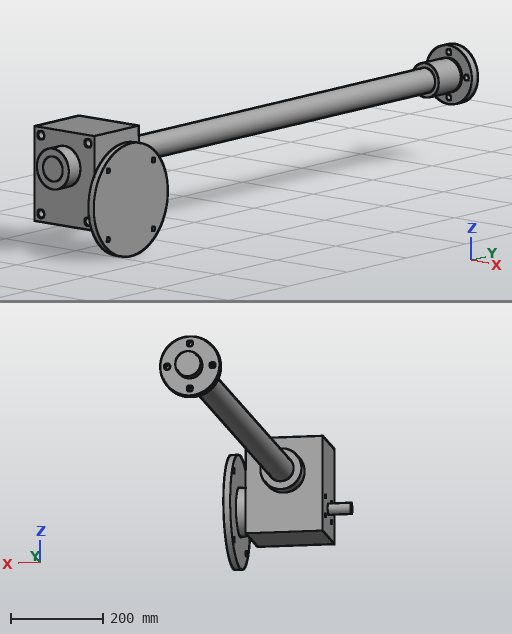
import cadquery as cq
import math


HOUSING_WIDTH = 170.0
HOUSING_DEPTH = 150.0
HOUSING_HEIGHT = 210.0
HOUSING_TOP = 78.0
HOUSING_MIDDLE_Z = HOUSING_TOP - HOUSING_HEIGHT / 2
HOUSING_SIDE = HOUSING_WIDTH / 2
HOUSING_FRONT = -HOUSING_DEPTH / 2

BOSS_DIAMETER = 90.0
BOSS_END = 114.0

DRILL_POINT_ANGLE = 118
CORNER_HOLE_DIAMETER = 17.0
CORNER_HOLE_MOUTH = 20.0
CORNER_HOLE_DEPTH = 35.0
CORNER_HOLE_INSET = 18.0
SIDE_HOLE_DIAMETER = 6.7
SIDE_HOLE_MOUTH = 8.0
SIDE_HOLE_DEPTH = 17.0
SIDE_HOLE_SPACING_Y = 74.0
SIDE_HOLE_SPACING_Z = 42.0

SCREW_DIAMETER = 55.0
SCREW_END = 1265.0

NUT_FLANGE_DIAMETER = 130.0
NUT_FLANGE_THICKNESS = 21.0
NUT_HUB_DIAMETER = 76.0
NUT_HUB_LENGTH = 79.0
NUT_NECK_DIAMETER = 75.0
NUT_NECK_LENGTH = 4.0
NUT_END = 1241.0
NUT_HOLE_DIAMETER = 13.0
NUT_HOLE_CIRCLE = 100.0
NUT_HOLE_COUNT = 4

DRIVE_AXIS_Z = -70.0
SHAFT_DIAMETER = 25.0
SHAFT_LENGTH = 50.0
SHAFT_HOLE_DIAMETER = 6.7
SHAFT_HOLE_MOUTH = 8.0
SHAFT_HOLE_DEPTH = 25.0

MOTOR_FLANGE_DIAMETER = 250.0
MOTOR_FLANGE_THICKNESS = 15.0
MOTOR_HUB_SMALL_DIAMETER = 100.0
MOTOR_HUB_LARGE_DIAMETER = 108.0
MOTOR_HUB_LENGTH = 25.0
MOTOR_HOLE_DIAMETER = 10.1
MOTOR_HOLE_MOUTH = 12.0
MOTOR_HOLE_CIRCLE = 215.0
MOTOR_HOLE_COUNT = 4

X_DIRECTION = cq.Vector(1, 0, 0)
Y_DIRECTION = cq.Vector(0, 1, 0)


def cylinder(diameter, length, start, direction):
    """Cylinder from the centre of its first end along a direction."""
    return cq.Workplane(cq.Solid.makeCylinder(diameter / 2, length, cq.Vector(*start), direction))


def cone(start_diameter, end_diameter, length, start, direction):
    """Cone or truncated cone from the centre of its first end along a direction."""
    solid = cq.Solid.makeCone(start_diameter / 2, end_diameter / 2, length, cq.Vector(*start), direction)
    return cq.Workplane(solid)


def chamfered_hole(diameter, mouth_diameter, depth, start, direction):
    """Hole with a 45 degree chamfer at its mouth."""
    chamfer = cone(mouth_diameter, diameter, (mouth_diameter - diameter) / 2, start, direction)
    return cylinder(diameter, depth, start, direction).union(chamfer)


def tapped_hole(diameter, mouth_diameter, depth, start, direction):
    """Blind chamfered hole with a conical drill point beyond its full-width depth."""
    point_length = diameter / 2 / math.tan(math.radians(DRILL_POINT_ANGLE / 2))
    point_start = (cq.Vector(*start) + direction * depth).toTuple()
    point = cone(diameter, 0, point_length, point_start, direction)
    return chamfered_hole(diameter, mouth_diameter, depth, start, direction).union(point)


def make_housing():
    body = cq.Workplane().box(HOUSING_WIDTH, HOUSING_DEPTH, HOUSING_HEIGHT)
    body = body.translate((0, 0, HOUSING_MIDDLE_Z))
    body = body.union(cylinder(BOSS_DIAMETER, 2 * BOSS_END, (0, -BOSS_END, 0), Y_DIRECTION))
    body = body.cut(cylinder(SCREW_DIAMETER, 2 * BOSS_END, (0, -BOSS_END, 0), Y_DIRECTION))

    corner_x = HOUSING_SIDE - CORNER_HOLE_INSET
    corner_z = HOUSING_HEIGHT / 2 - CORNER_HOLE_INSET
    side_y = SIDE_HOLE_SPACING_Y / 2
    side_z = SIDE_HOLE_SPACING_Z / 2
    for across in (-1, 1):
        for up in (-1, 1):
            corner = (across * corner_x, HOUSING_FRONT, HOUSING_MIDDLE_Z + up * corner_z)
            body = body.cut(
                tapped_hole(CORNER_HOLE_DIAMETER, CORNER_HOLE_MOUTH, CORNER_HOLE_DEPTH, corner, Y_DIRECTION)
            )
            side = (-HOUSING_SIDE, across * side_y, DRIVE_AXIS_Z + up * side_z)
            body = body.cut(
                tapped_hole(SIDE_HOLE_DIAMETER, SIDE_HOLE_MOUTH, SIDE_HOLE_DEPTH, side, X_DIRECTION)
            )
    return body


def make_screw():
    return cylinder(SCREW_DIAMETER, SCREW_END + BOSS_END, (0, -BOSS_END, 0), Y_DIRECTION)


def make_nut():
    flange_start = NUT_END - NUT_FLANGE_THICKNESS
    hub_start = flange_start - NUT_HUB_LENGTH
    nut_length = NUT_END - hub_start
    nut = cylinder(NUT_FLANGE_DIAMETER, NUT_FLANGE_THICKNESS, (0, flange_start, 0), Y_DIRECTION)
    nut = nut.union(cylinder(NUT_NECK_DIAMETER, NUT_HUB_LENGTH, (0, hub_start, 0), Y_DIRECTION))
    collar_length = NUT_HUB_LENGTH - NUT_NECK_LENGTH
    nut = nut.union(cylinder(NUT_HUB_DIAMETER, collar_length, (0, hub_start, 0), Y_DIRECTION))
    nut = nut.cut(cylinder(SCREW_DIAMETER, nut_length, (0, hub_start, 0), Y_DIRECTION))

    for index in range(NUT_HOLE_COUNT):
        angle = 2 * math.pi * index / NUT_HOLE_COUNT
        x = NUT_HOLE_CIRCLE / 2 * math.cos(angle)
        z = NUT_HOLE_CIRCLE / 2 * math.sin(angle)
        start = (x, flange_start, z)
        nut = nut.cut(cylinder(NUT_HOLE_DIAMETER, NUT_FLANGE_THICKNESS, start, Y_DIRECTION))
    return nut


def make_input_shaft():
    outer_end = (-HOUSING_SIDE - SHAFT_LENGTH, 0, DRIVE_AXIS_Z)
    shaft = cylinder(SHAFT_DIAMETER, SHAFT_LENGTH, outer_end, X_DIRECTION)
    return shaft.cut(
        tapped_hole(SHAFT_HOLE_DIAMETER, SHAFT_HOLE_MOUTH, SHAFT_HOLE_DEPTH, outer_end, X_DIRECTION)
    )


def make_motor_flange():
    disc_start = HOUSING_SIDE + MOTOR_HUB_LENGTH
    hub = cone(
        MOTOR_HUB_SMALL_DIAMETER,
        MOTOR_HUB_LARGE_DIAMETER,
        MOTOR_HUB_LENGTH,
        (HOUSING_SIDE, 0, DRIVE_AXIS_Z),
        X_DIRECTION,
    )
    disc_centre = (disc_start, 0, DRIVE_AXIS_Z)
    flange = hub.union(
        cylinder(MOTOR_FLANGE_DIAMETER, MOTOR_FLANGE_THICKNESS, disc_centre, X_DIRECTION)
    )

    for index in range(MOTOR_HOLE_COUNT):
        angle = 2 * math.pi * (index + 0.5) / MOTOR_HOLE_COUNT
        y = MOTOR_HOLE_CIRCLE / 2 * math.cos(angle)
        z = DRIVE_AXIS_Z + MOTOR_HOLE_CIRCLE / 2 * math.sin(angle)
        start = (disc_start, y, z)
        flange = flange.cut(
            chamfered_hole(MOTOR_HOLE_DIAMETER, MOTOR_HOLE_MOUTH, MOTOR_FLANGE_THICKNESS, start, X_DIRECTION)
        )
    return flange


housing = make_housing()
screw = make_screw()
nut = make_nut()
input_shaft = make_input_shaft()
motor_flange = make_motor_flange()

result = cq.Compound.makeCompound(
    [housing.val(), screw.val(), nut.val(), input_shaft.val(), motor_flange.val()]
)